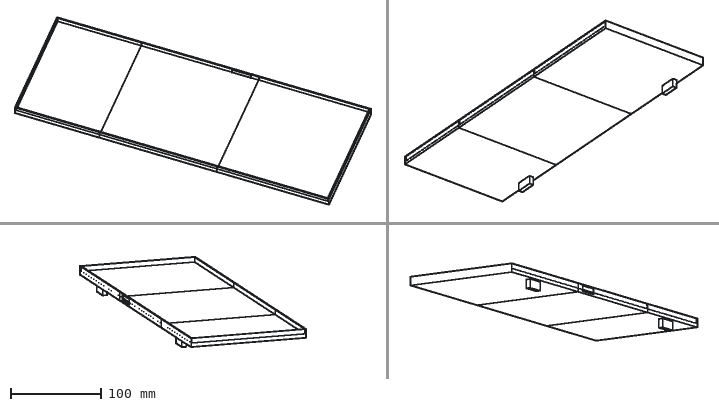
import cadquery as cq

total_length = 371.5
width = 135.2
total_height = 20.0
tray_height = 10.0
leg_height = total_height - tray_height

first_joint = 100.0
second_joint = 239.0

floor_thickness = 4.5
side_wall = 1.0
left_wall = 1.0
right_wall = 2.0

leg_length = 20.0
leg_thickness = 5.2
leg_back_inset = 4.5
left_leg_start = 43.0
right_leg_start = 308.3

slot_start = 207.3
slot_length = 22.3
slot_bottom = 2.5
slot_height = 6.3


def box(x_start, x_end, y_start, y_end, z_start, z_end):
    """Axis-aligned block between the given limits."""
    size = (x_end - x_start, y_end - y_start, z_end - z_start)
    return cq.Workplane("XY").box(*size, centered=False).translate((x_start, y_start, z_start))


def tray(x_start, x_end, start_wall=0.0, end_wall=0.0):
    """Floor with front and back walls, and an end wall wherever one is given a thickness."""
    block = box(x_start, x_end, 0, width, 0, tray_height)
    recess = box(
        x_start + start_wall, x_end - end_wall,
        side_wall, width - side_wall,
        floor_thickness, tray_height,
    )
    return block.cut(recess)


def leg(x_start):
    """Rectangular leg hanging below the floor."""
    back = width - leg_back_inset
    return box(x_start, x_start + leg_length, back - leg_thickness, back, -leg_height, 0)


def back_slot():
    """Cutter for the opening in the back wall."""
    return box(
        slot_start, slot_start + slot_length,
        width - side_wall, width,
        slot_bottom, slot_bottom + slot_height,
    )


left_tray = tray(0, first_joint, start_wall=left_wall).union(leg(left_leg_start))
middle_tray = tray(first_joint, second_joint).cut(back_slot())
right_tray = tray(second_joint, total_length, end_wall=right_wall).union(leg(right_leg_start))

result = cq.Compound.makeCompound([left_tray.val(), middle_tray.val(), right_tray.val()])